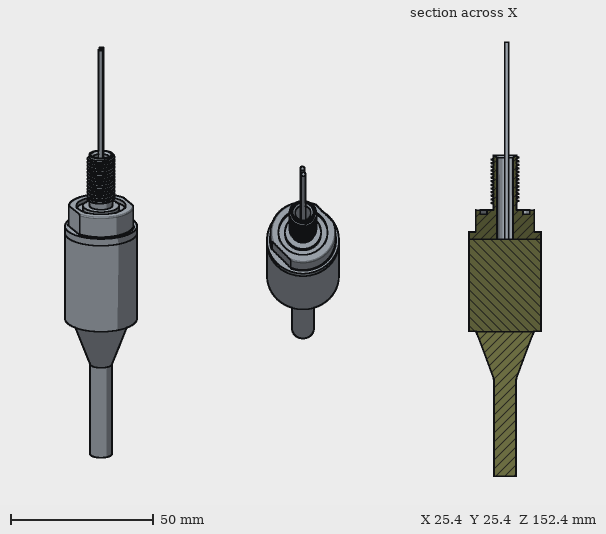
import cadquery as cq

body_diameter = 25.35
total_height = 152.41

rod_diameter = 7.8
rod_length = 33.9
cone_top_diameter = 20.5
cone_height = 17.0

housing_height = 32.35

flange_height = 2.54
head_diameter = 22.8
head_height = 7.7
rim_round = 0.4
foot_round = 0.25
across_flats = 20.7
groove_inner_diameter = 12.72
groove_outer_diameter = 17.25
groove_depth = 1.5
stem_diameter = 8.13
stem_length = 19.2
bore_diameter = 5.54
countersink_diameter = 7.26

thread_diameter = 9.525
thread_pitch = 1.27
thread_run_out = 1.9
thread_top_margin = 0.15
thread_start_angle = 250.0
ridge_root_width = 1.0
ridge_crest_width = 0.15
ridge_overlap = 0.1

wire_diameter = 1.52
wire_offset_x = 0.92
wire_offset_y = 0.6

housing_base = rod_length + cone_height
cap_base = housing_base + housing_height
head_base = cap_base + flange_height
head_top = head_base + head_height
stem_top = head_top + stem_length


def cylinder(diameter, base, height):
    return cq.Workplane("XY").workplane(offset=base).circle(diameter / 2).extrude(height)


def make_probe():
    """Rod and cone turned about Z."""
    rod_radius = rod_diameter / 2
    return (
        cq.Workplane("XZ")
        .moveTo(0, 0)
        .lineTo(rod_radius, 0)
        .lineTo(rod_radius, rod_length)
        .lineTo(cone_top_diameter / 2, housing_base)
        .lineTo(0, housing_base)
        .close()
        .revolve(360, (0, 0, 0), (0, 1, 0))
    )


def make_housing():
    return cylinder(body_diameter, housing_base, housing_height)


def make_flanged_head():
    """Flange and round head with a rounded rim and foot, two flats and a ring groove in the top."""
    head_radius = head_diameter / 2
    flange_radius = body_diameter / 2
    blank = (
        cq.Workplane("XZ")
        .moveTo(0, cap_base)
        .lineTo(flange_radius, cap_base)
        .lineTo(flange_radius, head_base)
        .lineTo(head_radius + foot_round, head_base)
        .radiusArc((head_radius, head_base + foot_round), foot_round)
        .lineTo(head_radius, head_top - rim_round)
        .radiusArc((head_radius - rim_round, head_top), -rim_round)
        .lineTo(0, head_top)
        .close()
        .revolve(360, (0, 0, 0), (0, 1, 0))
    )
    flat_cut_width = (body_diameter - across_flats) / 2
    flat_centre = (across_flats + flat_cut_width) / 2
    beside_flats = (
        cq.Workplane("XY")
        .workplane(offset=head_base)
        .pushPoints([(0, flat_centre), (0, -flat_centre)])
        .rect(body_diameter, flat_cut_width)
        .extrude(head_height)
    )
    groove = (
        cq.Workplane("XY")
        .workplane(offset=head_top - groove_depth)
        .circle(groove_outer_diameter / 2)
        .circle(groove_inner_diameter / 2)
        .extrude(groove_depth)
    )
    return blank.cut(beside_flats).cut(groove)


def make_thread_ridge():
    """Helical ridge of trapezoid section, sunk slightly into the stem."""
    root_radius = stem_diameter / 2 - ridge_overlap
    crest_radius = thread_diameter / 2
    height = stem_length - thread_run_out - thread_top_margin - ridge_root_width
    path = cq.Wire.makeHelix(thread_pitch, height, root_radius)
    ridge = (
        cq.Workplane("XZ")
        .moveTo(root_radius, -ridge_root_width / 2)
        .lineTo(crest_radius, -ridge_crest_width / 2)
        .lineTo(crest_radius, ridge_crest_width / 2)
        .lineTo(root_radius, ridge_root_width / 2)
        .close()
        .sweep(cq.Workplane(path), isFrenet=True)
    )
    first_ridge = head_top + thread_run_out + ridge_root_width / 2
    return ridge.rotate((0, 0, 0), (0, 0, 1), thread_start_angle).translate((0, 0, first_ridge))


def make_cap():
    """Flanged head with the threaded stem, bored and countersunk for the wires."""
    stem = cylinder(stem_diameter, head_top, stem_length).union(make_thread_ridge())
    bore = cylinder(bore_diameter, cap_base, stem_top - cap_base)
    countersink_depth = (countersink_diameter - bore_diameter) / 2
    countersink = cq.Workplane(
        cq.Solid.makeCone(
            bore_diameter / 2,
            countersink_diameter / 2,
            countersink_depth,
            pnt=cq.Vector(0, 0, stem_top - countersink_depth),
        )
    )
    return make_flanged_head().union(stem).cut(bore).cut(countersink)


def make_wire(side):
    """Straight lead standing on the housing; side is +1 or -1 about the Z axis."""
    wire = cylinder(wire_diameter, cap_base, total_height - cap_base)
    return wire.translate((side * wire_offset_x, -side * wire_offset_y, 0))


probe = make_probe()
housing = make_housing()
cap = make_cap()
wires = [make_wire(side) for side in (-1, 1)]

result = cq.Compound.makeCompound(
    [probe.val(), housing.val(), cap.val(), *[wire.val() for wire in wires]]
)